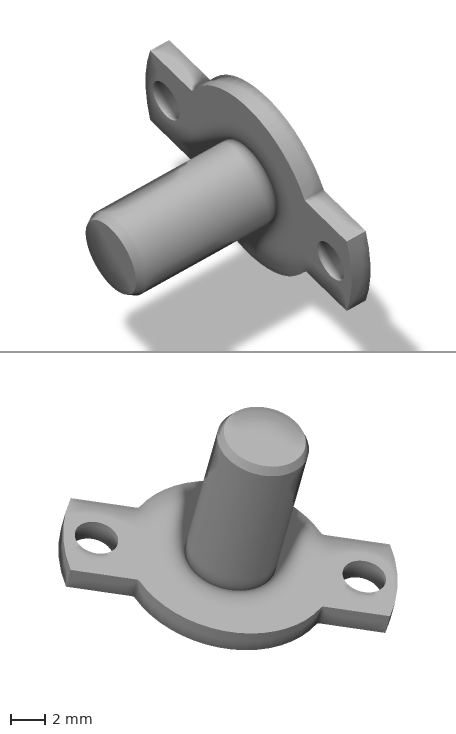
import cadquery as cq

overall_width = 20.0
disc_diameter = 12.5
ear_height = 6.0
flange_thickness = 1.4
corner_radius = 0.2

hole_diameter = 2.6
hole_spacing = 16.0

overall_depth = 11.5
pin_diameter = 5.5
pin_length = overall_depth - flange_thickness
tip_chamfer_length = 0.5
tip_chamfer_inset = 0.3


def make_flange():
    """Flange with its front face at Y = 0 and its back face toward +Y."""
    plane = cq.Workplane("XZ")
    disc = plane.circle(disc_diameter / 2).extrude(-flange_thickness)
    ear_bar = plane.rect(overall_width, ear_height).extrude(-flange_thickness)
    end_round = plane.circle(overall_width / 2).extrude(-flange_thickness)
    flange = disc.union(ear_bar.intersect(end_round))

    corner_x = ((disc_diameter / 2) ** 2 - (ear_height / 2) ** 2) ** 0.5
    for x in (-corner_x, corner_x):
        for z in (-ear_height / 2, ear_height / 2):
            corner = cq.NearestToPointSelector((x, flange_thickness / 2, z))
            flange = flange.edges(corner).fillet(corner_radius)

    holes = (
        plane.pushPoints([(-hole_spacing / 2, 0), (hole_spacing / 2, 0)])
        .circle(hole_diameter / 2)
        .extrude(-flange_thickness)
    )
    return flange.cut(holes)


def make_pin():
    """Round pin with a chamfered tip, revolved about the Y axis."""
    radius = pin_diameter / 2
    return (
        cq.Workplane("XY")
        .moveTo(0, flange_thickness)
        .lineTo(radius, flange_thickness)
        .lineTo(radius, tip_chamfer_length - pin_length)
        .lineTo(radius - tip_chamfer_inset, -pin_length)
        .lineTo(0, -pin_length)
        .close()
        .revolve(360, (0, 0, 0), (0, 1, 0))
    )


result = make_flange().union(make_pin())